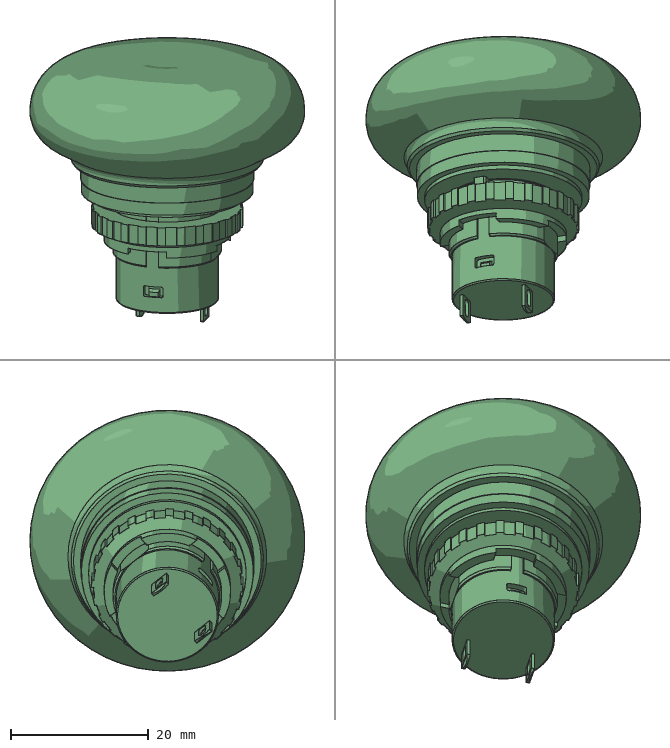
import cadquery as cq
import math


cap_bottom_z = 5.1
nut_top_z = -1.77
barrel_radius = 7.9

cap_top_z = 20.6
cap_radius = 20.0
equator_z = 12.8
crown_edge_radius = 14.75
crown_edge_z = 19.5
flat_radius = 6.65
dish_outer_radius = 5.1
dish_inner_radius = 3.87
dish_depth = 0.12
upper_arc_radius = 6.9
lower_arc_radius = 4.9
lower_arc_end_z = 8.5
neck_top_radius = 14.45
neck_top_z = 6.8
neck_middle_radius = 14.07
neck_middle_z = 6.2
neck_radius = 13.97
neck_bottom_z = 5.5
cap_bottom_radius = 13.65

bezel_radius = 12.6
bezel_bottom_z = 2.47
flange_radius = 12.5
flange_bottom_z = 0.63
gasket_step_radius = 11.45
lip_radius = 8.0
lip_height = 0.15
barrel_bottom_z = -8.6
lower_radius = 7.44
lower_top_z = -8.86
barrel_chamfer_radius = 7.62
housing_bottom_z = -15.82
bottom_chamfer = 0.2
slot_width = 1.9
key_tip_y = 9.3
key_chamfer = 0.25

window_width = 3.0
window_top_z = -11.8
window_bottom_z = -13.4
window_corner = 0.3
window_depth = 0.84
latch_base_width = 1.74
latch_base_top_z = -12.3
latch_tip_width = 1.36
latch_tip_top_z = -12.76
latch_projection = 0.45
latch_root = 0.1

terminal_x = 4.87
terminal_y = 2.72
terminal_thickness = 0.5
terminal_width = 2.84
terminal_shoulder_z = -19.1
terminal_tip_z = -19.5
terminal_eye_width = 1.34
terminal_eye_top_z = -16.1
terminal_eye_bottom_z = -18.7
tip_bevel = 0.3

nut_radius = 11.0
groove_radius = 10.73
tooth_count = 24
tooth_angle = 6.3
nut_cone_top_z = -4.46
collar_radius = 9.2
collar_top_z = -5.25
notch_top_z = -5.95
nut_bottom_z = -6.84
notch_count = 4
notch_width = 5.93
notch_offset = -0.5


def disc(radius, bottom_z, top_z):
    """Vertical cylinder on the button axis."""
    return cq.Workplane("XY").workplane(offset=bottom_z).circle(radius).extrude(top_z - bottom_z)


def point_on_arc(center, radius, start, end):
    """Point of a circle halfway between the directions of two of its points."""
    start_angle = math.atan2(start[1] - center[1], start[0] - center[0])
    end_angle = math.atan2(end[1] - center[1], end[0] - center[0])
    angle = (start_angle + end_angle) / 2
    return (center[0] + radius * math.cos(angle), center[1] + radius * math.sin(angle))


def make_cap():
    """Mushroom cap, turned from a half section with a shallow dish in its top."""
    equator = (cap_radius, equator_z)
    lower_center = (cap_radius - lower_arc_radius, equator_z)
    lower_reach = math.sqrt(lower_arc_radius**2 - (equator_z - lower_arc_end_z) ** 2)
    lower_end = (lower_center[0] + lower_reach, lower_arc_end_z)
    upper_center = (cap_radius - upper_arc_radius, equator_z)
    crown_edge = (crown_edge_radius, crown_edge_z)
    profile = (
        cq.Workplane("XZ")
        .moveTo(0, cap_bottom_z)
        .lineTo(cap_bottom_radius, cap_bottom_z)
        .lineTo(neck_radius, neck_bottom_z)
        .threePointArc((neck_middle_radius, neck_middle_z), (neck_top_radius, neck_top_z))
        .lineTo(*lower_end)
        .threePointArc(point_on_arc(lower_center, lower_arc_radius, lower_end, equator), equator)
        .threePointArc(point_on_arc(upper_center, upper_arc_radius, equator, crown_edge), crown_edge)
        .tangentArcPoint((flat_radius, cap_top_z), relative=False)
        .lineTo(dish_outer_radius, cap_top_z)
        .lineTo(dish_inner_radius, cap_top_z - dish_depth)
        .lineTo(0, cap_top_z - dish_depth)
        .close()
    )
    return profile.revolve(360, (0, 0, 0), (0, 1, 0))


def make_housing_blank():
    """Turned shape of the housing, from the bezel down to the terminal end."""
    profile = cq.Workplane("XZ").polyline([
        (0, cap_bottom_z),
        (bezel_radius, cap_bottom_z),
        (bezel_radius, bezel_bottom_z),
        (flange_radius, bezel_bottom_z),
        (flange_radius, flange_bottom_z),
        (gasket_step_radius, flange_bottom_z),
        (gasket_step_radius, 0),
        (lip_radius, 0),
        (lip_radius, -lip_height),
        (barrel_radius, -lip_height),
        (barrel_radius, barrel_bottom_z),
        (barrel_chamfer_radius, lower_top_z),
        (lower_radius, lower_top_z),
        (lower_radius, housing_bottom_z + bottom_chamfer),
        (lower_radius - bottom_chamfer, housing_bottom_z),
        (0, housing_bottom_z),
    ]).close()
    return profile.revolve(360, (0, 0, 0), (0, 1, 0))


def make_barrel_cuts():
    """Side flats facing X and keyway slots facing Y, down to the lower radius."""
    height = -lip_height - lower_top_z
    middle_z = (-lip_height + lower_top_z) / 2
    sleeve = disc(lip_radius, lower_top_z, -lip_height)
    between_flats = cq.Workplane("XY").box(2 * lower_radius, 2 * lip_radius, height)
    flats = sleeve.cut(between_flats.translate((0, 0, middle_z)))
    slot_bar = cq.Workplane("XY").box(slot_width, 2 * lip_radius, height)
    slots = slot_bar.translate((0, 0, middle_z)).cut(disc(lower_radius, lower_top_z, -lip_height))
    return flats.union(slots)


def make_key():
    """Anti-rotation key on the +Y side, between the flange and the nut."""
    length = key_tip_y - lower_radius / 2
    return (
        cq.Workplane("XY")
        .box(slot_width, length, -nut_top_z)
        .translate((0, key_tip_y - length / 2, nut_top_z / 2))
        .edges("|Z and >Y")
        .chamfer(key_chamfer)
    )


def make_window():
    """Rounded window recess in the -Y side, with a cylindrical back wall."""
    height = window_top_z - window_bottom_z
    back_radius = lower_radius - window_depth
    return (
        cq.Workplane("XY")
        .box(window_width, lower_radius, height)
        .edges("|Y")
        .fillet(window_corner)
        .translate((0, -lower_radius, (window_top_z + window_bottom_z) / 2))
        .cut(disc(back_radius, window_bottom_z, window_top_z))
    )


def make_latch():
    """Tapered latch nose on the back wall of the -Y window, with its root sunk into the wall."""
    base_y = lower_radius - window_depth - latch_root
    tip_y = lower_radius - window_depth + latch_projection
    base_height = latch_base_top_z - window_bottom_z
    tip_height = latch_tip_top_z - window_bottom_z
    return (
        cq.Workplane("XZ", origin=(0, -base_y, window_bottom_z))
        .center(0, base_height / 2)
        .rect(latch_base_width, base_height)
        .workplane(offset=tip_y - base_y)
        .center(0, (tip_height - base_height) / 2)
        .rect(latch_tip_width, tip_height)
        .loft(ruled=True)
    )


def make_terminal(side):
    """Flat solder terminal with an eye; side is +1 for +X and -1 for -X."""
    half_width = terminal_width / 2
    eye_height = terminal_eye_top_z - terminal_eye_bottom_z
    eye_z = (terminal_eye_top_z + terminal_eye_bottom_z) / 2
    blade = (
        cq.Workplane("YZ")
        .moveTo(-half_width, housing_bottom_z)
        .lineTo(-half_width, terminal_shoulder_z)
        .threePointArc((0, terminal_tip_z), (half_width, terminal_shoulder_z))
        .lineTo(half_width, housing_bottom_z)
        .close()
        .extrude(terminal_thickness / 2, both=True)
    )
    eye = (
        cq.Workplane("YZ")
        .center(0, eye_z)
        .slot2D(eye_height, terminal_eye_width, 90)
        .extrude(terminal_thickness, both=True)
    )
    outer_x = side * terminal_thickness / 2
    bevel = (
        cq.Workplane("XZ")
        .polyline([
            (outer_x, terminal_shoulder_z),
            (outer_x, terminal_tip_z),
            (outer_x - side * tip_bevel, terminal_tip_z),
        ])
        .close()
        .extrude(half_width, both=True)
    )
    return blade.cut(eye).cut(bevel).translate((side * terminal_x, terminal_y, 0))


def make_housing():
    """Bezel, flange, barrel, latch windows, key and terminals as one solid."""
    housing = make_housing_blank().cut(make_barrel_cuts()).union(make_key())
    for turn in (0, 180):
        window = make_window().rotate((0, 0, 0), (0, 0, 1), turn)
        latch = make_latch().rotate((0, 0, 0), (0, 0, 1), turn)
        housing = housing.cut(window).union(latch)
    for side in (-1, 1):
        housing = housing.union(make_terminal(side))
    return housing


def make_teeth():
    """Grip teeth around the nut, each ending at a multiple of the tooth pitch."""
    ring = disc(nut_radius, nut_bottom_z, nut_top_z)
    reach = 2 * nut_radius
    half_angle = math.radians(tooth_angle / 2)
    wedge = (
        cq.Workplane("XY")
        .workplane(offset=nut_bottom_z)
        .polyline([
            (0, 0),
            (reach * math.cos(half_angle), -reach * math.sin(half_angle)),
            (reach * math.cos(half_angle), reach * math.sin(half_angle)),
        ])
        .close()
        .extrude(nut_top_z - nut_bottom_z)
    )
    tooth = ring.intersect(wedge).rotate((0, 0, 0), (0, 0, 1), -tooth_angle / 2)
    teeth = disc(groove_radius, nut_bottom_z, nut_top_z)
    for index in range(tooth_count):
        teeth = teeth.union(tooth.rotate((0, 0, 0), (0, 0, 1), index * 360 / tooth_count))
    return teeth


def make_nut():
    """Toothed ring nut with a conical underside and a notched collar."""
    envelope = (
        cq.Workplane("XZ")
        .polyline([
            (barrel_radius, nut_top_z),
            (nut_radius, nut_top_z),
            (nut_radius, nut_cone_top_z),
            (collar_radius, collar_top_z),
            (collar_radius, nut_bottom_z),
            (barrel_radius, nut_bottom_z),
        ])
        .close()
        .revolve(360, (0, 0, 0), (0, 1, 0))
    )
    nut = envelope.intersect(make_teeth())
    notch_height = notch_top_z - nut_bottom_z
    notch = cq.Workplane("XY").box(notch_width, nut_radius, notch_height)
    notch = notch.translate((notch_offset, -nut_radius / 2, nut_bottom_z + notch_height / 2))
    for index in range(notch_count):
        nut = nut.cut(notch.rotate((0, 0, 0), (0, 0, 1), index * 360 / notch_count))
    return nut


cap = make_cap()
housing = make_housing()
nut = make_nut()

result = cq.Compound.makeCompound([cap.val(), housing.val(), nut.val()])